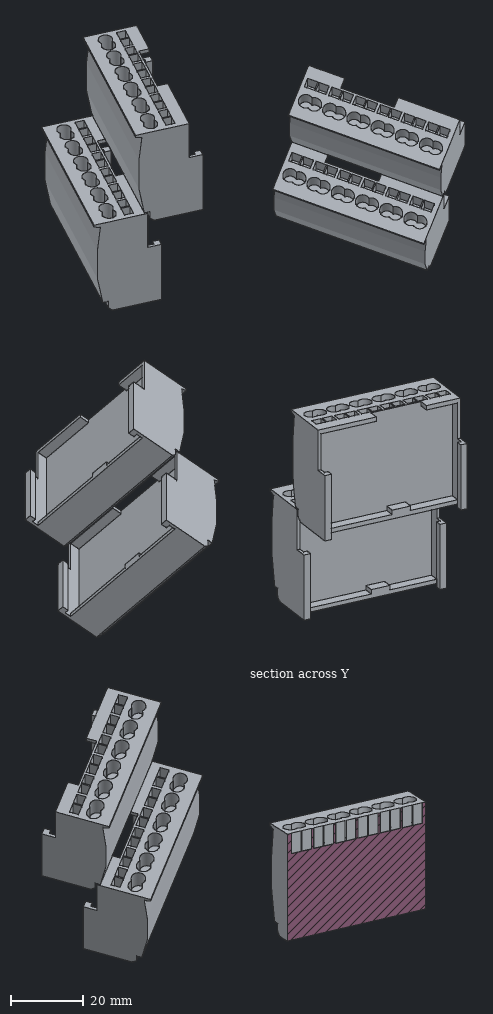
import cadquery as cq

width = 45.0
overall_depth = 32.0
overall_height = 61.5
height = 32.3
depth = 19.8
step_y = overall_depth - depth
step_z = overall_height - height

bulge_y = 1.0
neck_y = 1.85
skirt_y = 2.6
foot_y = 4.2
lip_edge_z = height - 0.7
neck_z = height - 1.35
bulge_top_z = 22.95
bulge_bottom_z = 12.65
skirt_z = 3.5
foot_chamfer = 1.15

shoulder_z = 20.0
shoulder_depth = 4.0
shoulder_y = depth - shoulder_depth
side_wall = 0.9
plate_thickness = 1.35
hollow_depth = 3.1
core_back_y = shoulder_y - hollow_depth
hook_width = 2.1
hook_depth = 1.95
notch_width = 15.8
notch_x = -3.8
block_width = 5.85
block_height = 2.7

pole_count = 6
pole_pitch = 7.2
pole_offset_x = -0.1
socket_depth = 6.15
slot_length = 3.0
slot_width = 2.65
slot_spacing = 3.4
slot_gap_from_shoulder = 3.75
slot_y = shoulder_y - slot_gap_from_shoulder - slot_width / 2
entry_diameter = 4.0
entry_spacing = 2.6
entry_y = 5.55


def box(x_size, x_center, y_min, y_max, z_min, z_max):
    """Box centred on x_center and spanning the given Y and Z ranges."""
    return cq.Workplane("XY").box(x_size, y_max - y_min, z_max - z_min).translate(
        (x_center, (y_min + y_max) / 2, (z_min + z_max) / 2)
    )


def housing_blank():
    """Side outline extruded over the full width."""
    outline = [
        (0, height),
        (0, lip_edge_z),
        (neck_y, neck_z),
        (bulge_y, bulge_top_z),
        (bulge_y, bulge_bottom_z),
        (skirt_y, skirt_z),
        (foot_y, skirt_z),
        (foot_y, foot_chamfer),
        (foot_y + foot_chamfer, 0),
        (depth, 0),
        (depth, shoulder_z),
        (shoulder_y, shoulder_z),
        (shoulder_y, height),
    ]
    side_plane = cq.Workplane("YZ").workplane(offset=-width / 2)
    return side_plane.polyline(outline).close().extrude(width)


def back_opening():
    """Everything removed from the back: hollow, hook channel and top plate notch."""
    inner_width = width - 2 * side_wall
    hollow = box(inner_width, 0, core_back_y, shoulder_y, plate_thickness, height - plate_thickness)
    hollow = hollow.cut(box(block_width, notch_x, core_back_y, shoulder_y, plate_thickness, block_height))
    channel = box(inner_width, 0, shoulder_y, depth - hook_depth, 0, shoulder_z)
    mouth = box(width - 2 * hook_width, 0, depth - hook_depth, depth, 0, shoulder_z)
    notch = box(notch_width, notch_x, core_back_y, shoulder_y, height - plate_thickness, height)
    return hollow.union(channel).union(mouth).union(notch)


def row_of_points(offset_x, y):
    """One point per pole, shifted along X from the pole centre."""
    points = []
    for pole in range(pole_count):
        pole_x = pole_offset_x + (pole - (pole_count - 1) / 2) * pole_pitch
        points.append((pole_x + offset_x, y))
    return points


def cut_pole_sockets(body):
    """Cut two square slots and one double round wire entry for every pole."""
    base = cq.Workplane("XY").workplane(offset=height - socket_depth)
    for side in (-1, 1):
        slot_points = row_of_points(side * slot_spacing / 2, slot_y)
        entry_points = row_of_points(side * entry_spacing / 2, entry_y)
        body = body.cut(base.pushPoints(slot_points).rect(slot_length, slot_width).extrude(socket_depth))
        body = body.cut(base.pushPoints(entry_points).circle(entry_diameter / 2).extrude(socket_depth))
    return body


def terminal_housing():
    return cut_pole_sockets(housing_blank().cut(back_opening()))


housings = []
for tier in range(2):
    placed = terminal_housing().translate((0, tier * step_y, tier * step_z))
    housings.append(placed.val())

result = cq.Compound.makeCompound(housings)